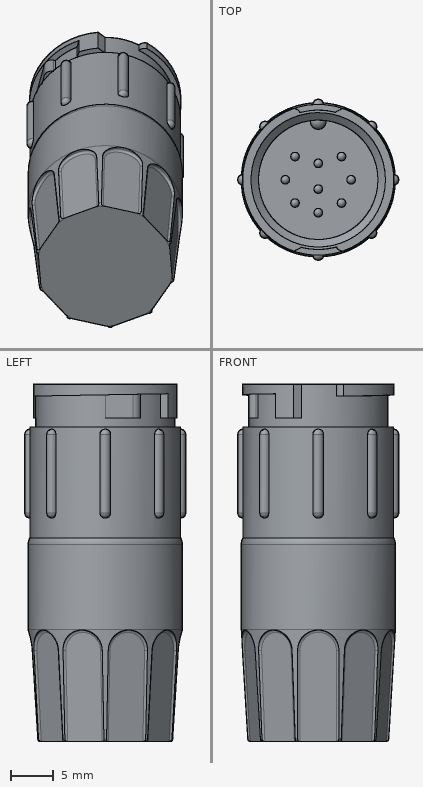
import cadquery as cq
import math

height = 41.9
neck_radius = 8.17
sleeve_radius = 8.85
barrel_radius = 9.05
tip_radius = 8.25
cone_top = 13.1
barrel_top = 23.1
sleeve_bottom = 23.9
sleeve_top = 36.9
shoulder_bulge = 0.06
tip_rounding = 0.35

bore_radius = 7.0
bore_mouth_chamfer = 0.9
bore_floor = 33.7

pin_radius = 0.5
pin_dome_centre = 38.6
pin_circle_radius = 3.85
pin_circle_places = 8
inner_pin_positions = [(0, 1.93), (0, -1.1)]
key_radius = 0.92
key_offset = 6.85
key_dome_centre = 39.6

rib_count = 8
rib_radius = 0.63
rib_outer_diameter = 18.9
rib_offset = rib_outer_diameter / 2 - rib_radius
rib_bottom = 26.82
rib_top = 36.0

flat_count = 10
flat_width = 4.85
flat_edge_radius = 0.3
flat_floor_bottom = 7.7
cone_slope = (barrel_radius - tip_radius) / cone_top

lip_radius = 8.9
lip_underside = 40.65
lip_ramp_angle = 1.0
stop_bottom = 37.93
entry_half_width = 1.95
entry_flare = 2.3
entry_depth = 1.1
lead_in_radius = 1.0
hump_end_y = -4.15
stop_face_x = -5.0
hump_rounding = 0.9


def disc(radius, bottom, top):
    return cq.Workplane("XY").workplane(offset=bottom).circle(radius).extrude(top - bottom)


def domed_pin(x, y, radius, bottom, dome_centre):
    shaft = disc(radius, bottom, dome_centre)
    dome = cq.Workplane("XY").sphere(radius).translate((0, 0, dome_centre))
    return shaft.union(dome).translate((x, y, 0))


def both_sides(half):
    """Return a feature together with its copy half a turn around the axis."""
    return half.union(half.rotate((0, 0, 0), (0, 0, 1), 180))


def make_body():
    """Neck, sleeve, barrel and tapered grip turned about the Z axis."""
    middle = ((sleeve_radius + barrel_radius) / 2 + shoulder_bulge, (sleeve_bottom + barrel_top) / 2)
    turned = (
        cq.Workplane("XZ")
        .polyline([(0, 0), (tip_radius, 0), (barrel_radius, cone_top), (barrel_radius, barrel_top)])
        .threePointArc(middle, (sleeve_radius, sleeve_bottom))
        .lineTo(sleeve_radius, sleeve_top)
        .lineTo(neck_radius, sleeve_top)
        .lineTo(neck_radius, height)
        .lineTo(0, height)
        .close()
        .revolve(360, (0, 0, 0), (0, 1, 0))
    )
    return turned.faces("<Z").edges().fillet(tip_rounding)


def make_flat_cutter():
    """Round-topped pocket lying along the taper, open at the tip, on the -Y side."""
    half_width = flat_width / 2
    arch_centre = cone_top - half_width
    overrun = 2.1
    cut_depth = 2.5
    pocket = (
        cq.Workplane("XZ")
        .moveTo(-half_width, -overrun)
        .lineTo(half_width, -overrun)
        .lineTo(half_width, arch_centre)
        .threePointArc((0, cone_top), (-half_width, arch_centre))
        .close()
        .extrude(cut_depth)
        .faces(">Y")
        .edges("not <Z")
        .fillet(flat_edge_radius)
    )
    tilt = math.degrees(math.atan(cone_slope))
    return pocket.rotate((0, 0, 0), (1, 0, 0), tilt).translate((0, -flat_floor_bottom, 0))


def make_entry_cutter():
    """Gap in the collar at -Y: slanted wall at -X, rounded lead-in wall at +X."""
    wall_foot = -math.sqrt(neck_radius**2 - entry_half_width**2)
    beyond = -1.5 * lip_radius
    flare_end = -entry_half_width - (wall_foot - beyond) * entry_flare / entry_depth
    lip_edge = -math.sqrt(lip_radius**2 - (entry_half_width + lead_in_radius) ** 2)
    corner_start = lip_edge + lead_in_radius
    diagonal = lead_in_radius * (1 - math.sqrt(0.5))
    return (
        cq.Workplane("XY")
        .moveTo(-entry_half_width, 0)
        .lineTo(entry_half_width, 0)
        .lineTo(entry_half_width, corner_start)
        .threePointArc(
            (entry_half_width + diagonal, lip_edge + diagonal),
            (entry_half_width + lead_in_radius, lip_edge),
        )
        .lineTo(entry_half_width + lead_in_radius, beyond)
        .lineTo(flare_end, beyond)
        .lineTo(-entry_half_width, wall_foot)
        .close()
        .extrude(height)
    )


def make_half_collar():
    """Ramped lip on the -X half, with a detent hump and a stop block beneath it."""
    span = 2 * lip_radius
    half_space = cq.Workplane("XY").box(span, 2 * span, height, centered=(False, True, False))
    half_space = half_space.translate((-span, 0, 0))

    ramp = cq.Workplane("XY").box(2 * span, 2 * span, height, centered=(True, True, False))
    ramp = ramp.rotate((0, 0, 0), (1, 0, 0), -lip_ramp_angle).translate((0, 0, lip_underside))
    lip = disc(lip_radius, stop_bottom, height).intersect(half_space).intersect(ramp)

    hump = (
        cq.Workplane("XY")
        .box(neck_radius, -hump_end_y, height, centered=False)
        .edges("|Z and <X and <Y")
        .fillet(hump_rounding)
        .translate((-neck_radius, hump_end_y, 0))
    )
    stop = cq.Workplane("XY").box(-stop_face_x, span, height, centered=False)
    stop = stop.translate((stop_face_x, -span, 0))
    stops = disc(lip_radius, stop_bottom, height).intersect(hump.union(stop))
    return lip.union(stops)


def make_socket():
    bore = disc(bore_radius, bore_floor, height)
    mouth = cq.Solid.makeCone(
        bore_radius,
        bore_radius + bore_mouth_chamfer,
        bore_mouth_chamfer,
        pnt=cq.Vector(0, 0, height - bore_mouth_chamfer),
    )
    return bore.union(cq.Workplane(mouth))


def make_contacts():
    """Pin circle without the place beside the key, two inner pins and the key."""
    contacts = domed_pin(0, key_offset, key_radius, bore_floor, key_dome_centre)
    places = list(inner_pin_positions)
    for step in range(1, pin_circle_places):
        angle = math.radians(90 + step * 360 / pin_circle_places)
        places.append((pin_circle_radius * math.cos(angle), pin_circle_radius * math.sin(angle)))
    for x, y in places:
        contacts = contacts.union(domed_pin(x, y, pin_radius, bore_floor, pin_dome_centre))
    return contacts


body = make_body()

flat_cutter = make_flat_cutter()
for index in range(flat_count):
    body = body.cut(flat_cutter.rotate((0, 0, 0), (0, 0, 1), index * 360 / flat_count))

rib = domed_pin(rib_offset, 0, rib_radius, rib_bottom, rib_top)
rib = rib.union(cq.Workplane("XY").sphere(rib_radius).translate((rib_offset, 0, rib_bottom)))
for index in range(rib_count):
    body = body.union(rib.rotate((0, 0, 0), (0, 0, 1), index * 360 / rib_count))

collar = both_sides(make_half_collar()).cut(both_sides(make_entry_cutter()))
result = body.union(collar).cut(make_socket()).union(make_contacts())